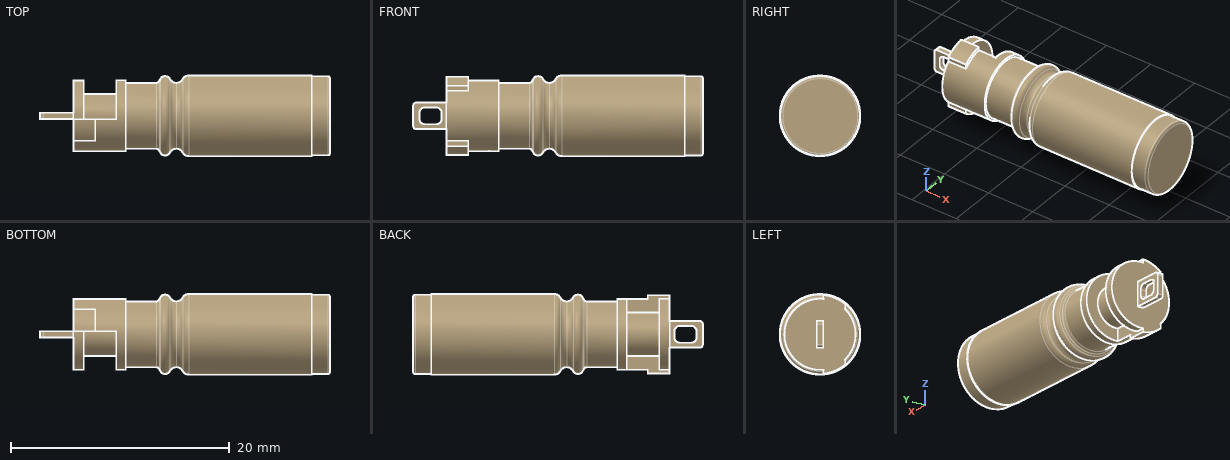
import cadquery as cq
import math


TAB_LENGTH = 3.05
TAB_THICKNESS = 0.6
TAB_WIDTH = 2.45
TAB_CORNER_RADIUS = 0.3
WINDOW_LENGTH = 2.0
WINDOW_WIDTH = 1.5
WINDOW_CORNER_RADIUS = 0.45
WINDOW_END_MARGIN = 0.6

COLLAR_RADIUS = 3.25
COLLAR_LENGTH = 4.8
LUG_RADIUS = 3.6
LUG_LENGTH = 2.0
LUG_WIDTH = 2.0
LUG_EDGE_Y = -TAB_THICKNESS / 2
RECESS_START = 0.95
RECESS_LENGTH = 2.95
RECESS_FLOOR_Y = LUG_EDGE_Y
CORE_RADIUS = 2.0

OVERALL_LENGTH = 26.5
BARREL_RADIUS = 3.7
NECK_RADIUS = 3.02
BEAD_X = 8.38
BEAD_PEAK_RADIUS = 3.64
BEAD_ARC = 0.5
NECK_FILLET = 0.28
FLANK_ANGLE = math.radians(62)

CAP_LENGTH = 1.65
CAP_RADIUS = 3.63
CAP_FILLET = 0.2

CAP_END_X = OVERALL_LENGTH - TAB_LENGTH
SLEEVE_END_X = CAP_END_X - CAP_LENGTH


def disc(x_start, length, radius):
    """Cylinder on the X axis."""
    return cq.Workplane("YZ", origin=(x_start, 0, 0)).circle(radius).extrude(length)


def box_between(x_range, y_range, z_range):
    """Axis-aligned box given by its limits."""
    sizes = [high - low for low, high in (x_range, y_range, z_range)]
    corner = (x_range[0], y_range[0], z_range[0])
    return cq.Workplane("XY", origin=corner).box(*sizes, centered=False)


def make_tab():
    """Flat solder tab with rounded free corners and a rounded window."""
    tab = box_between(
        (-TAB_LENGTH, 0),
        (-TAB_THICKNESS / 2, TAB_THICKNESS / 2),
        (-TAB_WIDTH / 2, TAB_WIDTH / 2),
    )
    tab = tab.edges("|Y and <X").fillet(TAB_CORNER_RADIUS)
    window_x = -TAB_LENGTH + WINDOW_END_MARGIN
    window = box_between(
        (window_x, window_x + WINDOW_LENGTH),
        (-TAB_THICKNESS, TAB_THICKNESS),
        (-WINDOW_WIDTH / 2, WINDOW_WIDTH / 2),
    )
    return tab.cut(window.edges("|Y").fillet(WINDOW_CORNER_RADIUS))


def make_collar():
    """Round collar with two raised lugs (+Z and -Z) and a recess that bares its core on the +Y side."""
    lugs = disc(0, LUG_LENGTH, LUG_RADIUS).intersect(
        box_between(
            (0, LUG_LENGTH),
            (LUG_EDGE_Y - LUG_WIDTH, LUG_EDGE_Y),
            (-LUG_RADIUS, LUG_RADIUS),
        )
    )
    recess = box_between(
        (RECESS_START, RECESS_START + RECESS_LENGTH),
        (RECESS_FLOOR_Y, COLLAR_RADIUS),
        (-COLLAR_RADIUS, COLLAR_RADIUS),
    ).cut(disc(RECESS_START, RECESS_LENGTH, CORE_RADIUS))
    return disc(0, COLLAR_LENGTH, COLLAR_RADIUS).union(lugs).cut(recess)


def flank_run(arc_radius, angle=FLANK_ANGLE):
    """Axial length of an arc that turns from the axial direction to the given slope."""
    return arc_radius * math.sin(angle)


def flank_rise(arc_radius, angle=FLANK_ANGLE):
    """Radial height of an arc that turns from the axial direction to the given slope."""
    return arc_radius * (1 - math.cos(angle))


def make_sleeve():
    """Turned sleeve: neck, bead, groove and shoulder meet tangentially, all flanks at one angle."""
    half_angle = FLANK_ANGLE / 2

    bead_start_x = BEAD_X - flank_run(BEAD_ARC)
    bead_end_x = BEAD_X + flank_run(BEAD_ARC)
    bead_foot_radius = BEAD_PEAK_RADIUS - flank_rise(BEAD_ARC)

    cone_foot_radius = NECK_RADIUS + flank_rise(NECK_FILLET)
    cone_length = (bead_foot_radius - cone_foot_radius) / math.tan(FLANK_ANGLE)
    cone_start_x = bead_start_x - cone_length
    neck_end_x = cone_start_x - flank_run(NECK_FILLET)

    groove_arc = (bead_foot_radius - NECK_RADIUS) / flank_rise(1)
    groove_x = bead_end_x + flank_run(groove_arc)

    shoulder_arc = (BARREL_RADIUS - NECK_RADIUS) / (2 * flank_rise(1))
    shoulder_middle_x = groove_x + flank_run(shoulder_arc)
    barrel_start_x = shoulder_middle_x + flank_run(shoulder_arc)

    profile = (
        cq.Workplane("XZ")
        .moveTo(COLLAR_LENGTH, 0)
        .lineTo(COLLAR_LENGTH, NECK_RADIUS)
        .lineTo(neck_end_x, NECK_RADIUS)
        .threePointArc(
            (
                neck_end_x + flank_run(NECK_FILLET, half_angle),
                NECK_RADIUS + flank_rise(NECK_FILLET, half_angle),
            ),
            (cone_start_x, cone_foot_radius),
        )
        .lineTo(bead_start_x, bead_foot_radius)
        .threePointArc((BEAD_X, BEAD_PEAK_RADIUS), (bead_end_x, bead_foot_radius))
        .threePointArc(
            (
                groove_x - flank_run(groove_arc, half_angle),
                NECK_RADIUS + flank_rise(groove_arc, half_angle),
            ),
            (groove_x, NECK_RADIUS),
        )
        .threePointArc(
            (
                groove_x + flank_run(shoulder_arc, half_angle),
                NECK_RADIUS + flank_rise(shoulder_arc, half_angle),
            ),
            (shoulder_middle_x, NECK_RADIUS + flank_rise(shoulder_arc)),
        )
        .threePointArc(
            (
                barrel_start_x - flank_run(shoulder_arc, half_angle),
                BARREL_RADIUS - flank_rise(shoulder_arc, half_angle),
            ),
            (barrel_start_x, BARREL_RADIUS),
        )
        .lineTo(SLEEVE_END_X, BARREL_RADIUS)
        .lineTo(SLEEVE_END_X, 0)
        .close()
    )
    return profile.revolve(360, (0, 0, 0), (1, 0, 0))


def make_end_cap():
    """Slightly smaller disc with a rounded outer edge that closes the sleeve."""
    return disc(SLEEVE_END_X, CAP_LENGTH, CAP_RADIUS).faces(">X").edges().fillet(CAP_FILLET)


tab = make_tab()
collar = make_collar()
sleeve = make_sleeve()
end_cap = make_end_cap()

result = cq.Compound.makeCompound([tab.val(), collar.val(), sleeve.val(), end_cap.val()])